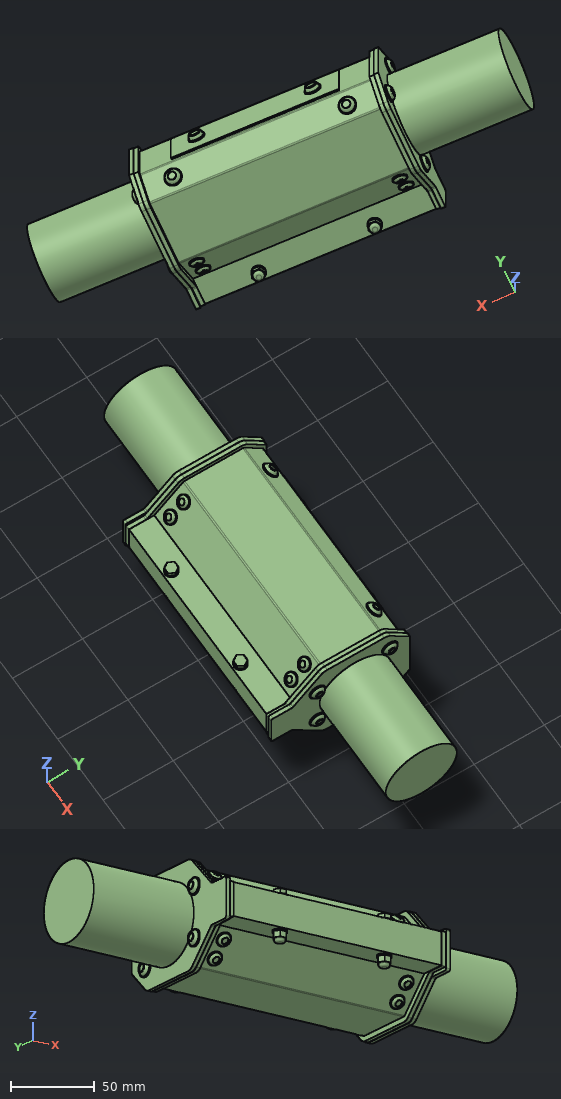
import cadquery as cq
import math

TOTAL_LENGTH = 309.58
BODY_LENGTH = 163.58
PLATE_THICKNESS = 3.0
LEFT_TUBE_DIAMETER = 52.45
RIGHT_TUBE_DIAMETER = 50.8

PLATE_HALF_HEIGHT = 35.56
PLATE_REAR_Y = 39.1
PLATE_FRONT_Y = -60.0
PLATE_FRONT_SLOPE = 58.2
PLATE_REAR_SLOPE = 58.9
PLATE_BLOCK_HALF_HEIGHT = 13.4
PLATE_CORNER_RADIUS = 6.5
PLATE_NOTCH_RADIUS = 1.5
PLATE_BLOCK_RADIUS = 1.5
PLATE_STEP = 0.3

HOUSING_LENGTH = BODY_LENGTH - 4 * PLATE_THICKNESS
HOUSING_HALF_HEIGHT = 31.75
HOUSING_REAR_Y = 36.3
HOUSING_FRONT_Y = PLATE_FRONT_Y + 2 * PLATE_STEP
HOUSING_FRONT_SLOPE = 52.2
HOUSING_REAR_SLOPE = 54.1
HOUSING_BLOCK_HALF_HEIGHT = 10.8
BEND_RADIUS = 1.5

STRIP_LENGTH = 110.0
STRIP_HEIGHT = 30.0
STRIP_THICKNESS = 1.0

LARGE_HEAD = dict(diameter=11.0, height=3.3, socket_diameter=5.2)
SMALL_HEAD = dict(diameter=9.5, height=2.6, socket_diameter=4.4)
REAR_HEAD = dict(diameter=10.5, height=3.93, socket_diameter=7.0)
RIM_HEIGHT = 0.8
RIM_STEP = 0.5
SOCKET_DEPTH = 0.8
DOME_FULLNESS = 0.62

END_SCREW_PLACES = [(24.5, 20.6), (-27.2, 16.5)]
FRONT_SLOPE_SCREW_X = 66.6
FRONT_SLOPE_SCREW_HEIGHTS = [16.6, 26.0]
REAR_SLOPE_SCREW_X = 57.15
REAR_SLOPE_SCREW_HEIGHT = 25.0
CENTRE_SCREW_X = 38.1

BLOCK_BOLT_Y = -53.6
WASHER_DIAMETER = 9.0
WASHER_THICKNESS = 1.0
HEX_FLATS = 7.6
HEX_CORNERS = HEX_FLATS / math.cos(math.pi / 6)
HEX_HEAD_HEIGHT = 3.0
NUT_HEIGHT = 4.0
COLLAR_DIAMETER = 7.2
COLLAR_HEIGHT = 2.6
COLLAR_EDGE_RADIUS = 2.0

PICK_TOLERANCE = 0.1
SIDES = (-1, 1)


def section(start_x, length, half_height, rear_y, front_y, front_slope, rear_slope, block_half_height):
    """Outline with sloped corners and a front block, mirrored about Z = 0 and extruded along +X."""
    upper = [
        (front_y, block_half_height),
        (block_half_height - front_slope, block_half_height),
        (half_height - front_slope, half_height),
        (rear_slope - half_height, half_height),
        (rear_y, rear_slope - rear_y),
    ]
    lower = [(y, -z) for y, z in reversed(upper)]
    return cq.Workplane("YZ", origin=(start_x, 0, 0)).polyline(upper + lower).close().extrude(length)


def round_edges(body, y, z, radius):
    """Round the upper and lower edges that run along X through (y, z) and (y, -z)."""
    for side in SIDES:
        selector = cq.selectors.BoxSelector(
            (-TOTAL_LENGTH, y - PICK_TOLERANCE, side * z - PICK_TOLERANCE),
            (TOTAL_LENGTH, y + PICK_TOLERANCE, side * z + PICK_TOLERANCE),
        )
        body = body.edges("|X").edges(selector).fillet(radius)
    return body


def plate(start_x, inset, block_half_height, block_radius):
    """Plate whose outline lies inset from the end plate outline."""
    half_height = PLATE_HALF_HEIGHT - inset
    front_y = PLATE_FRONT_Y + inset
    front_slope = PLATE_FRONT_SLOPE - inset * math.sqrt(2)
    rear_slope = PLATE_REAR_SLOPE - inset * math.sqrt(2)
    body = section(start_x, PLATE_THICKNESS, half_height, PLATE_REAR_Y - inset, front_y,
                   front_slope, rear_slope, block_half_height)
    body = round_edges(body, half_height - front_slope, half_height, PLATE_CORNER_RADIUS)
    body = round_edges(body, rear_slope - half_height, half_height, PLATE_CORNER_RADIUS)
    body = round_edges(body, block_half_height - front_slope, block_half_height, PLATE_NOTCH_RADIUS)
    return round_edges(body, front_y, block_half_height, block_radius)


def end_plate(start_x):
    return plate(start_x, 0, PLATE_BLOCK_HALF_HEIGHT, PLATE_BLOCK_RADIUS)


def inner_plate(start_x):
    """Plate whose block stands only slightly proud of the housing block."""
    return plate(start_x, PLATE_STEP, HOUSING_BLOCK_HALF_HEIGHT + PLATE_STEP, PLATE_STEP)


def housing():
    body = section(-HOUSING_LENGTH / 2, HOUSING_LENGTH, HOUSING_HALF_HEIGHT, HOUSING_REAR_Y,
                   HOUSING_FRONT_Y, HOUSING_FRONT_SLOPE, HOUSING_REAR_SLOPE, HOUSING_BLOCK_HALF_HEIGHT)
    body = round_edges(body, HOUSING_HALF_HEIGHT - HOUSING_FRONT_SLOPE, HOUSING_HALF_HEIGHT, BEND_RADIUS)
    body = round_edges(body, HOUSING_REAR_SLOPE - HOUSING_HALF_HEIGHT, HOUSING_HALF_HEIGHT, BEND_RADIUS)
    return round_edges(body, HOUSING_REAR_Y, HOUSING_REAR_SLOPE - HOUSING_REAR_Y, BEND_RADIUS)


def tube(diameter, side):
    """Tube from the middle of the housing out to one end of the part."""
    return cq.Workplane("YZ").circle(diameter / 2).extrude(side * TOTAL_LENGTH / 2)


def rear_strip():
    strip = cq.Workplane("XY").box(STRIP_LENGTH, STRIP_THICKNESS, STRIP_HEIGHT)
    return strip.translate((0, HOUSING_REAR_Y + STRIP_THICKNESS / 2, 0))


def button_head(seat, normal, diameter, height, socket_diameter):
    """Domed screw head with its base centre at seat, facing along normal."""
    rim_radius = diameter / 2
    dome_radius = rim_radius - RIM_STEP
    top_radius = socket_diameter / 2
    dome_middle = (
        top_radius + (dome_radius - top_radius) * DOME_FULLNESS,
        RIM_HEIGHT + (height - RIM_HEIGHT) * DOME_FULLNESS,
    )
    floor = height - SOCKET_DEPTH
    head = (
        cq.Workplane("XZ")
        .lineTo(rim_radius, 0)
        .lineTo(rim_radius, RIM_HEIGHT)
        .lineTo(dome_radius, RIM_HEIGHT)
        .threePointArc(dome_middle, (top_radius, height))
        .lineTo(top_radius, floor)
        .lineTo(0, floor)
        .close()
        .revolve(360, (0, 0), (0, 1))
    )
    x_direction = (0, 1, 0) if normal[0] else (1, 0, 0)
    seat_plane = cq.Plane(origin=seat, xDir=x_direction, normal=normal)
    return cq.Workplane(head.val().located(cq.Location(seat_plane)))


def hexagon(x, base_z, height):
    """Hexagon prism on the block bolt line, with two corners pointing along X."""
    return cq.Workplane("XY", origin=(x, BLOCK_BOLT_Y, base_z)).polygon(6, HEX_CORNERS).extrude(height)


def disc(x, base_z, diameter, height):
    """Round disc on the block bolt line."""
    return cq.Workplane("XY", origin=(x, BLOCK_BOLT_Y, base_z)).circle(diameter / 2).extrude(height)


def block_bolt(x):
    """Washer and hexagon head above the block, washer and collared lock nut below it."""
    washer_face = HOUSING_BLOCK_HALF_HEIGHT + WASHER_THICKNESS
    washers = disc(x, -washer_face, WASHER_DIAMETER, 2 * washer_face)
    head = hexagon(x, washer_face, HEX_HEAD_HEIGHT)
    nut = hexagon(x, -washer_face, -NUT_HEIGHT)
    collar = disc(x, -washer_face - NUT_HEIGHT, COLLAR_DIAMETER, -COLLAR_HEIGHT)
    collar = collar.faces("<Z").edges().fillet(COLLAR_EDGE_RADIUS)
    return washers.union(head).union(nut).union(collar)


def end_screws(side):
    """Four screws on the outer face of one end plate."""
    return [
        button_head((side * BODY_LENGTH / 2, y, up * z), (side, 0, 0), **LARGE_HEAD)
        for y, z in END_SCREW_PLACES
        for up in SIDES
    ]


def front_slope_screws(side):
    """Pairs of small screws on the upper and lower front slopes, near one end."""
    return [
        button_head((side * FRONT_SLOPE_SCREW_X, z - HOUSING_FRONT_SLOPE, up * z), (0, -1, up), **SMALL_HEAD)
        for z in FRONT_SLOPE_SCREW_HEIGHTS
        for up in SIDES
    ]


def rear_slope_screws(side):
    """One large screw on the upper and one on the lower rear slope."""
    y = HOUSING_REAR_SLOPE - REAR_SLOPE_SCREW_HEIGHT
    return [
        button_head((side * REAR_SLOPE_SCREW_X, y, up * REAR_SLOPE_SCREW_HEIGHT), (0, 1, up), **LARGE_HEAD)
        for up in SIDES
    ]


def rear_screw(side):
    seat = (side * CENTRE_SCREW_X, HOUSING_REAR_Y + STRIP_THICKNESS, 0)
    return button_head(seat, (0, 1, 0), **REAR_HEAD)


parts = [
    tube(LEFT_TUBE_DIAMETER, -1),
    tube(RIGHT_TUBE_DIAMETER, 1),
    end_plate(-BODY_LENGTH / 2),
    inner_plate(-BODY_LENGTH / 2 + PLATE_THICKNESS),
    inner_plate(HOUSING_LENGTH / 2),
    end_plate(HOUSING_LENGTH / 2 + PLATE_THICKNESS),
    rear_strip(),
]
for end in SIDES:
    parts += end_screws(end)
    parts += front_slope_screws(end)
    parts += rear_slope_screws(end)
    parts += [rear_screw(end), block_bolt(end * CENTRE_SCREW_X)]

result = housing()
for piece in parts:
    result = result.union(piece)